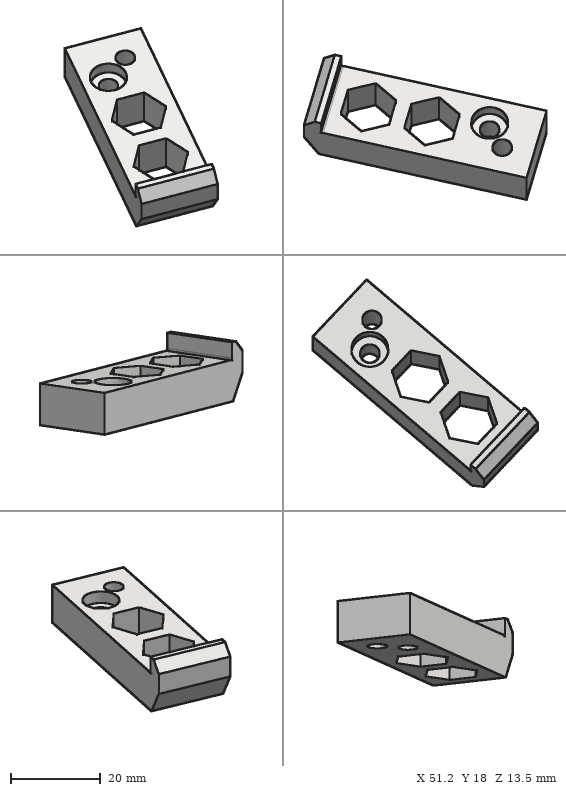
import math

import cadquery as cq

length = 51.2
width = 18.0
height = 13.5
shelf_height = 9.5

lip_thickness = 4.0
lip_face_x = length - lip_thickness
upper_bevel = 2.5
lower_bevel_length = 3.5
lower_bevel_height = 6.0

relief_reach = 0.45
relief_angle = 15.0
relief_slope = math.tan(math.radians(relief_angle))
relief_depth = relief_reach * relief_slope / (1 - relief_slope)

hole_diameter = 4.3
hole_offset_y = 2.75
plain_hole_x = 7.2
plain_hole_y = width / 2 + hole_offset_y
screw_hole_x = 11.5
screw_hole_y = width / 2 - hole_offset_y
counterbore_diameter = 8.2
counterbore_depth = 2.9

hex_across_flats = 11.1
hex_sides = 6
hex_across_corners = hex_across_flats / math.cos(math.pi / hex_sides)
hex_count = 2
hex_pitch = 14.6
first_hex_x = 24.05
hex_y = width / 2
hex_rotation = 30.0


def make_body():
    """Side profile with the hooked end, extruded across the width."""
    profile = (
        cq.Workplane("XZ")
        .moveTo(0, 0)
        .lineTo(length - lower_bevel_length, 0)
        .lineTo(length, lower_bevel_height)
        .lineTo(length, height - upper_bevel)
        .lineTo(length - upper_bevel, height)
        .lineTo(lip_face_x, height)
        .lineTo(lip_face_x, shelf_height + relief_reach)
        .lineTo(lip_face_x + relief_depth, shelf_height - relief_depth)
        .lineTo(lip_face_x - relief_reach, shelf_height)
        .lineTo(0, shelf_height)
        .close()
    )
    return profile.extrude(-width)


def vertical_cylinder(x, y, bottom, top, diameter):
    """Upright cylinder used to cut a round hole."""
    return cq.Workplane("XY", origin=(x, y, bottom)).circle(diameter / 2).extrude(top - bottom)


def cut_plain_hole(body):
    """Through hole without a counterbore."""
    return body.cut(vertical_cylinder(plain_hole_x, plain_hole_y, 0, shelf_height, hole_diameter))


def cut_screw_hole(body):
    """Through hole with a counterbore sunk from the shelf."""
    seat_height = shelf_height - counterbore_depth
    shank = vertical_cylinder(screw_hole_x, screw_hole_y, 0, shelf_height, hole_diameter)
    head = vertical_cylinder(screw_hole_x, screw_hole_y, seat_height, shelf_height, counterbore_diameter)
    return body.cut(shank).cut(head)


def cut_hex_windows(body):
    """Row of hexagonal through windows with corners pointing along Y."""
    for index in range(hex_count):
        window = (
            cq.Workplane("XY")
            .polygon(hex_sides, hex_across_corners)
            .extrude(shelf_height)
            .rotate((0, 0, 0), (0, 0, 1), hex_rotation)
            .translate((first_hex_x + index * hex_pitch, hex_y, 0))
        )
        body = body.cut(window)
    return body


part = make_body()
part = cut_plain_hole(part)
part = cut_screw_hole(part)
result = cut_hex_windows(part)